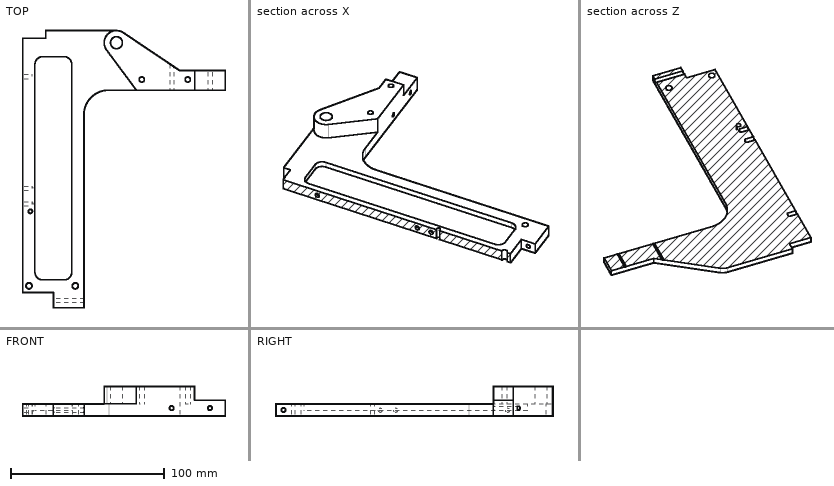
import cadquery as cq
import math

total_length = 132.17
total_width = 181.0
total_height = 19.5

plate_thickness = 8.0
stem_width = 40.0
arm_width = 13.0
arm_front_to_back_edge = 39.0
arm_front = total_width - arm_front_to_back_edge
arm_back = arm_front + arm_width
inner_corner_radius = 16.0
back_notch_length = 15.0
back_notch_width = 5.0
tab_width = 20.0
tab_length = 10.0

lug_length = 20.0
lug_height = 10.5
lug_start = total_length - lug_length

pivot_radius = 8.0
pivot_x = 61.17
pivot_y = total_width - pivot_radius
pivot_bore_diameter = 7.8
block_front_x = 74.2
slope_end_x = 102.3
block_height = total_height - plate_thickness

pocket_width = 24.0
pocket_length = 145.6
pocket_x = stem_width / 2
pocket_front = 18.3
pocket_corner_radius = 5.0
pocket_depth = 4.0

block_hole_diameter = 3.4
block_hole_spacing = 30.0
block_hole_x = 77.7
block_hole_inset = 7.0
block_hole_y = arm_front + block_hole_inset
end_hole_diameter = 3.8
end_hole_x = 4.1
end_hole_spacing = 30.2
end_hole_setback = 4.4
end_hole_y = tab_length + end_hole_setback
edge_hole_diameter = 2.5
edge_hole_x = 5.0
edge_hole_y = 63.0

cross_hole_diameter = 2.7
arm_hole_spacing = 25.0
outer_arm_hole_x = total_length - lug_length / 2
inner_arm_hole_x = outer_arm_hole_x - arm_hole_spacing
arm_hole_z = lug_height / 2
side_hole_z = plate_thickness / 2
side_hole_depth = 6.0
drill_point_angle = 118.0
back_side_hole_y = 151.0
paired_side_hole_ys = (68.0, 78.0)
tab_hole_y = tab_length / 2


def tangent_point(x, y, side):
    """Point where the line from (x, y) touches the pivot round; side picks one of the two tangents."""
    distance = math.hypot(x - pivot_x, y - pivot_y)
    direction = math.atan2(y - pivot_y, x - pivot_x)
    angle = direction + side * math.acos(pivot_radius / distance)
    return pivot_x + pivot_radius * math.cos(angle), pivot_y + pivot_radius * math.sin(angle)


def arc_middle(start, end):
    """Point on the pivot round halfway between two of its points."""
    x = (start[0] + end[0]) / 2 - pivot_x
    y = (start[1] + end[1]) / 2 - pivot_y
    scale = pivot_radius / math.hypot(x, y)
    return pivot_x + x * scale, pivot_y + y * scale


back_tangent = tangent_point(slope_end_x, arm_back, 1)
front_tangent = tangent_point(block_front_x, arm_front, -1)
pivot_back = (pivot_x, pivot_y + pivot_radius)
pivot_left = (pivot_x - pivot_radius, pivot_y)
back_arc_middle = arc_middle(back_tangent, pivot_back)


def base_plate():
    plate = (
        cq.Workplane("XY")
        .moveTo(0, tab_length)
        .lineTo(stem_width - tab_width, tab_length)
        .lineTo(stem_width - tab_width, 0)
        .lineTo(stem_width, 0)
        .lineTo(stem_width, arm_front - inner_corner_radius)
        .radiusArc((stem_width + inner_corner_radius, arm_front), inner_corner_radius)
        .lineTo(total_length, arm_front)
        .lineTo(total_length, arm_back)
        .lineTo(slope_end_x, arm_back)
        .lineTo(*back_tangent)
        .threePointArc(back_arc_middle, pivot_back)
        .lineTo(back_notch_length, total_width)
        .lineTo(back_notch_length, total_width - back_notch_width)
        .lineTo(0, total_width - back_notch_width)
        .close()
        .extrude(plate_thickness)
    )
    lug = cq.Workplane("XY").box(lug_length, arm_width, lug_height, centered=False)
    return plate.union(lug.translate((lug_start, arm_front, 0)))


def pivot_block():
    return (
        cq.Workplane("XY")
        .workplane(offset=plate_thickness)
        .moveTo(block_front_x, arm_front)
        .lineTo(lug_start, arm_front)
        .lineTo(lug_start, arm_back)
        .lineTo(slope_end_x, arm_back)
        .lineTo(*back_tangent)
        .threePointArc(pivot_left, front_tangent)
        .close()
        .extrude(block_height)
    )


def stem_pocket():
    return (
        cq.Workplane("XY")
        .workplane(offset=plate_thickness - pocket_depth)
        .center(pocket_x, pocket_front + pocket_length / 2)
        .rect(pocket_width, pocket_length)
        .extrude(pocket_depth)
        .edges("|Z")
        .fillet(pocket_corner_radius)
    )


def vertical_hole(x, y, diameter, bottom, top):
    return cq.Workplane("XY").workplane(offset=bottom).center(x, y).circle(diameter / 2).extrude(top - bottom)


def arm_hole(x):
    start = cq.Vector(x, arm_front, arm_hole_z)
    length = total_width - arm_front
    return cq.Workplane(cq.Solid.makeCylinder(cross_hole_diameter / 2, length, start, cq.Vector(0, 1, 0)))


def side_hole(y, depth):
    start = cq.Vector(0, y, side_hole_z)
    return cq.Workplane(cq.Solid.makeCylinder(cross_hole_diameter / 2, depth, start, cq.Vector(1, 0, 0)))


def drilled_side_hole(y):
    radius = cross_hole_diameter / 2
    tip_length = radius / math.tan(math.radians(drill_point_angle / 2))
    start = cq.Vector(side_hole_depth, y, side_hole_z)
    tip = cq.Solid.makeCone(radius, 0, tip_length, start, cq.Vector(1, 0, 0))
    return side_hole(y, side_hole_depth).union(cq.Workplane(tip))


result = base_plate().union(pivot_block()).cut(stem_pocket())

result = result.cut(vertical_hole(pivot_x, pivot_y, pivot_bore_diameter, plate_thickness, total_height))
for x in (block_hole_x, block_hole_x + block_hole_spacing):
    result = result.cut(vertical_hole(x, block_hole_y, block_hole_diameter, plate_thickness, total_height))

for x in (end_hole_x, end_hole_x + end_hole_spacing):
    result = result.cut(vertical_hole(x, end_hole_y, end_hole_diameter, 0, plate_thickness))
result = result.cut(vertical_hole(edge_hole_x, edge_hole_y, edge_hole_diameter, 0, plate_thickness))

for x in (inner_arm_hole_x, outer_arm_hole_x):
    result = result.cut(arm_hole(x))

result = result.cut(side_hole(back_side_hole_y, side_hole_depth))
for y in paired_side_hole_ys:
    result = result.cut(drilled_side_hole(y))

result = result.cut(side_hole(tab_hole_y, stem_width))